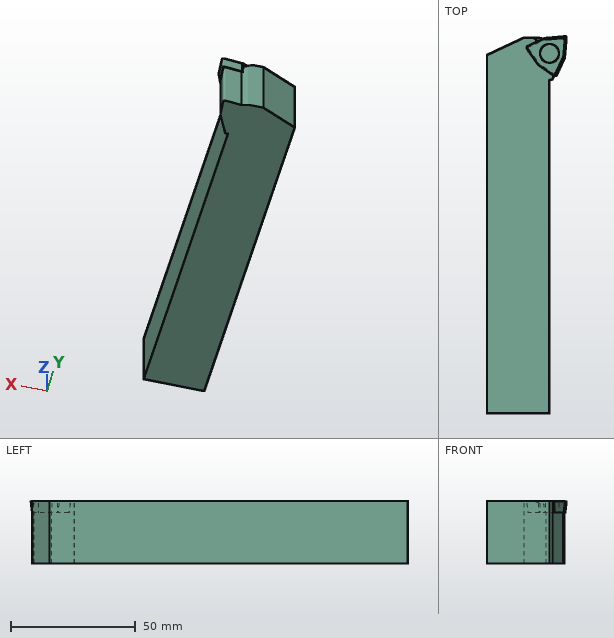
import cadquery as cq
import math

SHANK = 25.1
LENGTH = 151.3
HEAD_Y = 150.7
BEVEL_X = 14.8
BEVEL_Y = 143.7
SHOULDER_Y = 133.6
SHOULDER_TIP = (26.3, 133.9)
HEAD_END_X = 21.0

OVERALL_X = 32.1
INSCRIBED_R = 6.4
NOSE_R = 0.8
THICKNESS = 4.5
CLEARANCE_ANGLE = 7.0
NOSE_HALF_ANGLE = 40.0
LEAD_ANGLE = 45.0
PIN_D = 7.5
LAND_WIDTH = 0.8
LAND_DROP = 0.2
SEAT_INSET = 0.8

RELIEF_START = (18.9, HEAD_Y)
RELIEF_LENGTH = 3.6
RELIEF_RUN = 4.5
RELIEF_SLOPE = 30.0

nose_center_r = (INSCRIBED_R - NOSE_R) / math.sin(math.radians(NOSE_HALF_ANGLE))
nose_reach = nose_center_r * math.cos(math.radians(LEAD_ANGLE)) + NOSE_R
CENTER = (OVERALL_X - nose_reach, LENGTH - nose_reach)


def polar(radius, angle, origin=CENTER):
    a = math.radians(angle)
    return (origin[0] + radius * math.cos(a), origin[1] + radius * math.sin(a))


def obtuse_radius(edge_distance):
    """Distance from the centre to the blunt corner between two edges."""
    return edge_distance / math.cos(math.radians(60 - (90 - NOSE_HALF_ANGLE)))


def trigon(edge_distance, nose_radius, z):
    """Closed outline with straight edges and three rounded noses."""
    nose_r = (edge_distance - nose_radius) / math.sin(math.radians(NOSE_HALF_ANGLE))
    normal = 90 - NOSE_HALF_ANGLE
    outline = cq.Workplane("XY", origin=(0, 0, z))
    outline = outline.moveTo(*polar(obtuse_radius(edge_distance), LEAD_ANGLE - 60))
    for corner in range(3):
        direction = LEAD_ANGLE + 120 * corner
        nose = polar(nose_r, direction)
        outline = (
            outline.lineTo(*polar(nose_radius, direction - normal, nose))
            .threePointArc(
                polar(nose_radius, direction, nose),
                polar(nose_radius, direction + normal, nose),
            )
        )
        if corner < 2:
            outline = outline.lineTo(*polar(obtuse_radius(edge_distance), direction + 60))
    return outline.close()


def insert_blank():
    """Solid plate that narrows downward by the clearance angle."""
    return trigon(INSCRIBED_R, NOSE_R, SHANK).extrude(-THICKNESS, taper=CLEARANCE_ANGLE)


def pin_cylinder():
    return (
        cq.Workplane("XY", origin=(*CENTER, SHANK - THICKNESS))
        .circle(PIN_D / 2)
        .extrude(THICKNESS)
    )


def exposed_land():
    """Shallow step along the edges on both sides of the working nose."""
    reach = 2 * INSCRIBED_R
    floor_z = SHANK - LAND_DROP
    band = trigon(INSCRIBED_R + LAND_WIDTH, NOSE_R, floor_z).extrude(LAND_DROP)
    core = trigon(INSCRIBED_R - LAND_WIDTH, NOSE_R, floor_z).extrude(LAND_DROP)
    exposed_sector = (
        cq.Workplane("XY", origin=(0, 0, floor_z))
        .polyline([
            CENTER,
            polar(reach, LEAD_ANGLE - 120),
            polar(2 * reach, LEAD_ANGLE - 60),
            polar(2 * reach, LEAD_ANGLE),
            polar(reach, LEAD_ANGLE + 60),
        ])
        .close()
        .extrude(LAND_DROP)
    )
    return band.cut(core).intersect(exposed_sector)


def relief_wedge():
    """Wedge that slopes the head's top face down toward the working nose."""
    axis = math.radians(LEAD_ANGLE)
    plane = cq.Plane(
        origin=(*RELIEF_START, SHANK),
        xDir=(math.cos(axis), math.sin(axis), 0),
        normal=(math.sin(axis), -math.cos(axis), 0),
    )
    drop = RELIEF_RUN * math.tan(math.radians(RELIEF_SLOPE))
    return (
        cq.Workplane(plane)
        .polyline([(0, 0), (RELIEF_RUN, 0), (RELIEF_RUN, -drop)])
        .close()
        .extrude(RELIEF_LENGTH)
    )


def make_holder():
    seat_distance = INSCRIBED_R - SEAT_INSET
    seat_nose_r = seat_distance / math.sin(math.radians(NOSE_HALF_ANGLE))
    nose_tangent = NOSE_R / math.tan(math.radians(NOSE_HALF_ANGLE))
    seat_tip = polar(seat_nose_r, LEAD_ANGLE)
    arc_center = polar(seat_nose_r - NOSE_R / math.sin(math.radians(NOSE_HALF_ANGLE)), LEAD_ANGLE)
    body = (
        cq.Workplane("XY")
        .lineTo(SHANK, 0)
        .lineTo(SHANK, SHOULDER_Y)
        .lineTo(*SHOULDER_TIP)
        .lineTo(*polar(obtuse_radius(seat_distance), LEAD_ANGLE - 60))
        .lineTo(*polar(nose_tangent, LEAD_ANGLE + 180 + NOSE_HALF_ANGLE, seat_tip))
        .threePointArc(
            polar(NOSE_R, LEAD_ANGLE, arc_center),
            polar(nose_tangent, LEAD_ANGLE + 180 - NOSE_HALF_ANGLE, seat_tip),
        )
        .lineTo(*polar(obtuse_radius(seat_distance), LEAD_ANGLE + 60))
        .lineTo(HEAD_END_X, HEAD_Y)
        .lineTo(BEVEL_X, HEAD_Y)
        .lineTo(0, BEVEL_Y)
        .close()
        .extrude(SHANK)
    )
    return body.cut(relief_wedge()).cut(insert_blank()).union(pin_cylinder())


def make_insert():
    return insert_blank().cut(pin_cylinder()).cut(exposed_land())


holder = make_holder()
cutting_insert = make_insert()
result = cq.Compound.makeCompound([holder.solids().val(), cutting_insert.solids().val()])